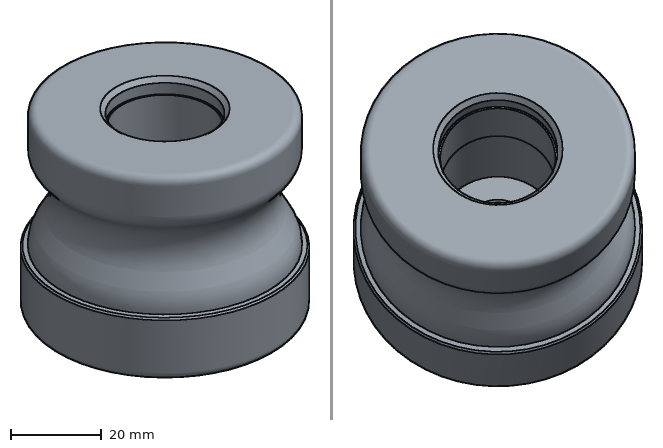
import cadquery as cq
import math

base_radius = 31.75
knob_radius = 30.15
total_height = 50.8
edge_radius = 2.05

base_height = 16.05
rim_height = 15.95
rim_chamfer = 0.45

neck_radius = 25.3
neck_height = 29.85
waist_arc = 10.05
shoulder_arc = 5.0
cone_angle = math.radians(30)

mouth_radius = 13.1
mouth_chamfer = 1.15
mouth_depth = 4.0
narrow_radius = 12.65
narrow_end_depth = 16.1
hole_radius = 6.8
hole_chamfer = 0.45


def arc_point(center, radius, angle):
    """Radial and axial place on an arc; angle zero points away from the axis."""
    return (center[0] + radius * math.cos(angle), center[1] + radius * math.sin(angle))


def make_base():
    profile = (
        cq.Workplane("XZ")
        .moveTo(hole_radius, 0)
        .lineTo(base_radius, 0)
        .lineTo(base_radius, rim_height - rim_chamfer)
        .lineTo(base_radius - rim_chamfer, rim_height)
        .lineTo(knob_radius, base_height)
        .lineTo(hole_radius + hole_chamfer, base_height)
        .lineTo(hole_radius, base_height - hole_chamfer)
        .close()
    )
    body = profile.revolve(360, (0, 0, 0), (0, 1, 0))
    outer_bottom_edge = cq.selectors.RadiusNthSelector(-1)
    return body.faces("<Z").edges(outer_bottom_edge).fillet(edge_radius)


def make_knob_blank():
    bulge_center = (knob_radius - waist_arc, base_height)
    neck_center = (neck_radius + waist_arc, neck_height)
    bulge_end = arc_point(bulge_center, waist_arc, cone_angle)
    neck_start = arc_point(neck_center, waist_arc, math.pi + cone_angle)

    shoulder_center_radius = knob_radius - shoulder_arc
    shoulder_angle = math.acos((neck_center[0] - shoulder_center_radius) / (waist_arc + shoulder_arc))
    shoulder_rise = (waist_arc + shoulder_arc) * math.sin(shoulder_angle)
    shoulder_center = (shoulder_center_radius, neck_height + shoulder_rise)
    neck_end = arc_point(neck_center, waist_arc, math.pi - shoulder_angle)

    profile = (
        cq.Workplane("XZ")
        .moveTo(0, base_height)
        .lineTo(knob_radius, base_height)
        .threePointArc(arc_point(bulge_center, waist_arc, cone_angle / 2), bulge_end)
        .lineTo(*neck_start)
        .threePointArc((neck_radius, neck_height), neck_end)
        .threePointArc(
            arc_point(shoulder_center, shoulder_arc, -shoulder_angle / 2),
            (knob_radius, shoulder_center[1]),
        )
        .lineTo(knob_radius, total_height)
        .lineTo(0, total_height)
        .close()
    )
    blank = profile.revolve(360, (0, 0, 0), (0, 1, 0))
    return blank.faces(">Z").edges().fillet(edge_radius)


def make_stepped_hole():
    """Solid that fills the bore of the knob, which narrows between the mouth and the lower part."""
    mouth_step = total_height - mouth_depth
    lower_step = total_height - narrow_end_depth
    profile = (
        cq.Workplane("XZ")
        .moveTo(0, base_height)
        .lineTo(mouth_radius, base_height)
        .lineTo(mouth_radius, lower_step)
        .lineTo(narrow_radius, lower_step)
        .lineTo(narrow_radius, mouth_step)
        .lineTo(mouth_radius, mouth_step)
        .lineTo(mouth_radius, total_height - mouth_chamfer)
        .lineTo(mouth_radius + mouth_chamfer, total_height)
        .lineTo(0, total_height)
        .close()
    )
    return profile.revolve(360, (0, 0, 0), (0, 1, 0))


base = make_base().solids()
knob = make_knob_blank().cut(make_stepped_hole()).solids()
result = cq.Compound.makeCompound([base.val(), knob.val()])